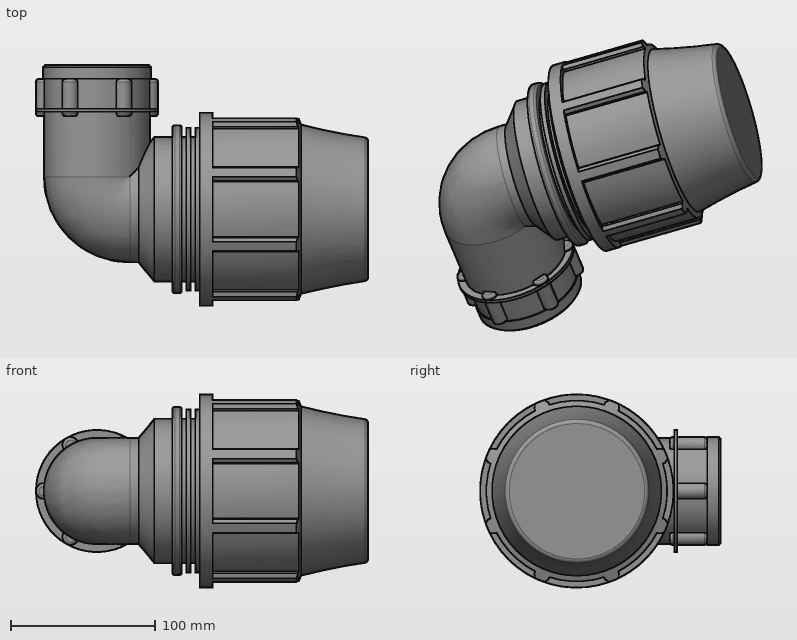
import cadquery as cq
import math


pipe_radius = 36.9
bend_radius = 22.5

branch_end = 100.0
mouth_radius = 37.5
mouth_chamfer = 1.5
collar_top = 90.3
collar_ring_start = 67.5
collar_ring_end = 69.8
collar_ring_radius = 42.4
pin_radius = 5.5
pin_bottom = 64.5
pin_rounding = 2.0
pin_count = 6
pin_circle_radius = collar_ring_radius - pin_radius

cone_start = 28.8
cone_end = 39.9
socket_radius = 50.2
wide_ring_start = 52.3
wide_ring_end = 58.7
wide_ring_radius = 58.3
wide_ring_rounding = 1.5
thread_diameter = 113.0
thread_starts = (61.7, 68.2)
thread_width = 3.2

flange_start = 71.2
flange_end = 80.2
flange_radius = 67.0
nut_radius = 62.7
rib_end = 138.2
nose_start = 141.5
nose_start_radius = 58.7
nose_middle_radius = 53.5
nose_end_radius = 49.5
nose_end = 188.0
nose_rounding = 3.0
rib_count = 8
rib_foot_half_width = 5.3
rib_crest_half_width = 3.5
rib_shoulder_radius = 64.0
rib_sink = 2.3
rib_root_radius = nut_radius - rib_sink
cutter_clearance = 0.7
gap_radius = flange_radius + cutter_clearance
blank_top = gap_radius + cutter_clearance


def disc_x(start, end, radius):
    """Solid cylinder on the main axis."""
    return cq.Workplane("YZ", origin=(start, 0, 0)).circle(radius).extrude(end - start)


def disc_y(start, end, radius, x=0.0, z=0.0):
    """Solid cylinder parallel to the branch axis."""
    plane = cq.Plane(origin=(x, start, z), xDir=(1, 0, 0), normal=(0, 1, 0))
    return cq.Workplane(plane).circle(radius).extrude(end - start)


def turn_x(outline):
    """Revolve an XY outline about the main axis."""
    return outline.close().revolve(360, (0, 0, 0), (1, 0, 0))


def elbow():
    """Two straight pipes mitred on the inside and joined by a round outer bend."""
    chord_half = math.sqrt(pipe_radius**2 - bend_radius**2)
    bend = (
        cq.Workplane("XZ", origin=(0, bend_radius, 0))
        .moveTo(bend_radius, -chord_half)
        .threePointArc((-pipe_radius, 0), (bend_radius, chord_half))
        .close()
        .revolve(90, (bend_radius, 0, 0), (bend_radius, 1, 0))
    )
    branch = disc_y(bend_radius, branch_end - mouth_chamfer, pipe_radius)
    main = disc_x(bend_radius, cone_end, pipe_radius)
    return bend.union(branch).union(main)


def branch_collar():
    """Mouth lip, thin ring and the pins around the branch."""
    collar = disc_y(collar_top, branch_end, mouth_radius).faces(">Y").chamfer(mouth_chamfer)
    collar = collar.union(disc_y(collar_ring_start, collar_ring_end, collar_ring_radius))
    for index in range(pin_count):
        angle = 2 * math.pi * index / pin_count
        x = pin_circle_radius * math.cos(angle)
        z = pin_circle_radius * math.sin(angle)
        pin = disc_y(pin_bottom, collar_top, pin_radius, x, z).faces("<Y or >Y").fillet(pin_rounding)
        collar = collar.union(pin)
    return collar


def socket():
    """Cone, barrel and the rings ahead of the nut."""
    body = turn_x(
        cq.Workplane("XY")
        .moveTo(cone_start, 0)
        .lineTo(cone_start, pipe_radius)
        .lineTo(cone_end, socket_radius)
        .lineTo(flange_start, socket_radius)
        .lineTo(flange_start, 0)
    )
    wide_ring = disc_x(wide_ring_start, wide_ring_end, wide_ring_radius)
    body = body.union(wide_ring.faces("<X or >X").fillet(wide_ring_rounding))
    for start in thread_starts:
        body = body.union(disc_x(start, start + thread_width, thread_diameter / 2))
    return body


def rib_blanks():
    """Oversize rib prisms with sloped flanks, evenly spaced and set half a pitch off the Y axis."""
    slope = (rib_foot_half_width - rib_crest_half_width) / (flange_radius - rib_shoulder_radius)
    blank_top_half_width = rib_crest_half_width - slope * (blank_top - flange_radius)
    blank = (
        cq.Workplane("YZ", origin=(flange_start, 0, 0))
        .moveTo(rib_root_radius, -rib_foot_half_width)
        .lineTo(rib_shoulder_radius, -rib_foot_half_width)
        .lineTo(blank_top, -blank_top_half_width)
        .lineTo(blank_top, blank_top_half_width)
        .lineTo(rib_shoulder_radius, rib_foot_half_width)
        .lineTo(rib_root_radius, rib_foot_half_width)
        .close()
        .extrude(nose_start - flange_start)
    )
    pitch = 360 / rib_count
    return [blank.rotate((0, 0, 0), (1, 0, 0), (index + 0.5) * pitch) for index in range(rib_count)]


def nut():
    """Flanged nut with a hollow-tapered nose, relieved between its grip ribs."""
    body = turn_x(
        cq.Workplane("XY")
        .moveTo(flange_start, 0)
        .lineTo(flange_start, flange_radius)
        .lineTo(rib_end, flange_radius)
        .lineTo(nose_start, nose_start_radius)
        .threePointArc(((nose_start + nose_end) / 2, nose_middle_radius), (nose_end, nose_end_radius))
        .lineTo(nose_end, 0)
    )
    body = body.faces(">X").edges().fillet(nose_rounding)
    gaps = disc_x(flange_end, nose_start, gap_radius).cut(disc_x(flange_end, nose_start, nut_radius))
    for blank in rib_blanks():
        gaps = gaps.cut(blank)
    return body.cut(gaps)


result = elbow().union(branch_collar()).union(socket()).union(nut())